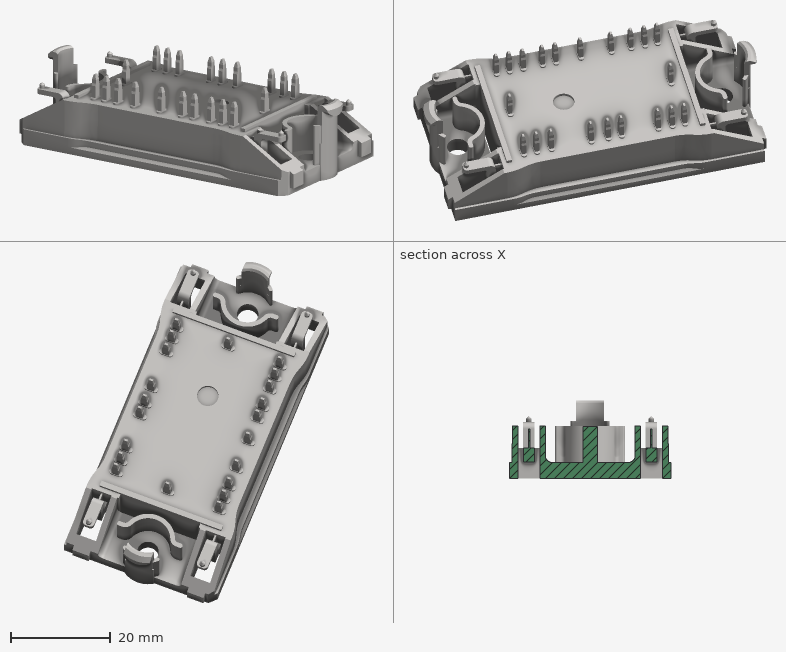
import cadquery as cq
import math

OVERALL_LENGTH = 68.4
HOUSING_LENGTH = 64.0
HOUSING_WIDTH = 32.5
CORNER_CHAMFER = 1.45
BASE_LENGTH, BASE_WIDTH = 38.2, 27.0
BASE_DROP = 0.2
LEDGE_Z = 3.53
TOP_Z = 11.07
HALF_LENGTH = HOUSING_LENGTH / 2
HALF_WIDTH = HOUSING_WIDTH / 2

WING_HALF_WIDTH = 15.78
WAIST_HALF_WIDTH = 14.55
WAIST_HALF_LENGTH = 13.9
WAIST_RUNOUT = 21.1
BODY_DRAFT = 1.5

RAMP_START = 21.7
RAMP_ANGLE = 30.0
TAB_REACH = 0.9
TAB_INNER_Y, TAB_OUTER_Y = 10.58, 14.1
TAB_BOTTOM_Z = 1.65

RECESS_HALF_LENGTH = 19.85
SILL_HALF_LENGTH = 15.3
SILL_HALF_WIDTH = 15.7
RECESS_FLOOR_Z, SILL_FOOT_Z = 1.65, 2.23

POCKET_HALF_WIDTH = 8.95
POCKET_FILLET = 1.25
SLOT_OUTER_X = 21.45
SLOT_HALF_LENGTH = 8.6
WINDOW_INNER_X, WINDOW_OUTER_X = 21.45, 30.0
WINDOW_INNER_Y, WINDOW_OUTER_Y = 10.15, 14.4
SCREW_X = 27.35
SCREW_DIAMETER = 4.3

GUARD_RADIUS = 4.95
GUARD_THICKNESS = 0.95
GUARD_BEND_RADIUS = 1.35
GUARD_LEG_X = 26.3
GUARD_LEG_END_Y = 7.0
GUARD_END_FILLET = 0.4
GUARD_TOP_Z = 10.74

POST_INNER_RADIUS, POST_OUTER_RADIUS = 4.7, 5.7
POST_HALF_WIDTH = 2.8
POST_FOOT_HALF_WIDTH = 3.1
POST_TOP_Z = 15.88
POST_STEP_Z = 8.0
ARM_INNER_RADIUS, ARM_OUTER_RADIUS = 4.75, 5.5
ARM_HALF_ANGLE = 43.5
ARM_TOP_Z = 11.76
LIP_RADIUS = OVERALL_LENGTH / 2 - SCREW_X
LIP_BOTTOM_Z, LIP_SIDE_Z = 13.5, 14.75
LIP_BEVEL_RUN, LIP_BEVEL_DROP = 1.05, 0.75
POST_BEVEL_RUN, POST_BEVEL_DROP = 0.45, 0.4

LEVER_Y = 12.25
LEVER_WIDTH = 2.35
LEVER_TIP_X = 29.4
LEVER_TOP_Z, LEVER_BOTTOM_Z = 11.5, 10.45
LEVER_TIP_FILLET = 0.75
LEVER_LEG_OUTER_X, LEVER_LEG_INNER_X = 24.6, 22.9
LEVER_LEG_BOTTOM_Z = LEDGE_Z
LEVER_BEND_OUTER_RADIUS, LEVER_BEND_INNER_RADIUS = 1.3, 0.7
LEVER_FOOT_TOP_Z = 6.4
LEVER_WEB_TOP_Z, LEVER_WEB_THICKNESS = 10.2, 0.35
STUD_X = 28.7
STUD_DIAMETER = 1.1
STUD_SHOULDER_Z, STUD_TIP_Z = 12.2, 12.75

RIB_X, RIB_WIDTH, RIB_LENGTH, RIB_HEIGHT = 20.0, 1.1, 26.2, 0.68
DIMPLE_X, DIMPLE_DIAMETER, DIMPLE_DEPTH = 5.45, 4.3, 0.6
PIN_ROW_Y = 11.1
PIN_SHANK_X, PIN_SHANK_Y = 0.95, 1.5
PIN_NECK_Y = 1.15
PIN_TIP_X, PIN_TIP_Y = 0.4, 0.75
PIN_SHOULDER_Z, PIN_NECK_Z, PIN_TAPER_Z, PIN_TOP_Z = 13.9, 14.4, 15.2, 16.23
COLLAR_LENGTH, COLLAR_WIDTH, COLLAR_HEIGHT = 2.8, 1.17, 0.35
BACK_ROW_X = (-16.65, -14.05, -11.15, -3.57, -0.8, 2.72, 10.95, 13.95, 16.65)
MIDDLE_ROW_X = (-16.65, 16.65)
FRONT_ROW_X = (-16.65, -14.05, -11.2, -7.1, -0.8, 4.36, 7.12, 11.12, 13.95, 16.65)

OVERLAP = 0.3


def box(x0, x1, y0, y1, z0, z1):
    """Box between two opposite corners."""
    return cq.Workplane("XY").box(x1 - x0, y1 - y0, z1 - z0, centered=False).translate((x0, y0, z0))


def ramp_z(x):
    """Height of the wing ramp at distance x from the middle."""
    return TOP_Z - (x - RAMP_START) * math.tan(math.radians(RAMP_ANGLE))


def both_y(shape):
    return shape.union(shape.mirror("XZ"))


def both_x(shape):
    return shape.union(shape.mirror("YZ"))


def plan_block(height):
    """Housing outline with its two front corners chamfered."""
    block = box(-HALF_LENGTH, HALF_LENGTH, -HALF_WIDTH, HALF_WIDTH, BASE_DROP, height)
    return block.edges("|Z and <Y").chamfer(CORNER_CHAMFER)


def s_curve(sketch, start, end):
    """S-curve of two equal arcs from start to end, running along X at both ends."""
    run, rise = end[0] - start[0], end[1] - start[1]
    radius = (run ** 2 + rise ** 2) / (4 * abs(rise))
    middle = (start[0] + run / 2, start[1] + rise / 2)
    half_turn = math.asin(abs(run) / 2 / radius) / 2
    dx = math.copysign(radius * math.sin(half_turn), run)
    dy = math.copysign(radius * (1 - math.cos(half_turn)), rise)
    sketch = sketch.threePointArc((start[0] + dx, start[1] + dy), middle)
    return sketch.threePointArc((end[0] - dx, end[1] - dy), end)


def upper_body():
    """Drafted body with waisted long sides, ramped down at both ends."""
    reach = HALF_LENGTH + TAB_REACH
    wing, waist = WING_HALF_WIDTH, WAIST_HALF_WIDTH
    sketch = cq.Workplane("XY").workplane(offset=LEDGE_Z).moveTo(-reach, -wing)
    for side in (-1, 1):
        sketch = sketch.lineTo(side * WAIST_RUNOUT, side * wing)
        sketch = s_curve(sketch, (side * WAIST_RUNOUT, side * wing), (side * WAIST_HALF_LENGTH, side * waist))
        sketch = sketch.lineTo(-side * WAIST_HALF_LENGTH, side * waist)
        sketch = s_curve(sketch, (-side * WAIST_HALF_LENGTH, side * waist), (-side * WAIST_RUNOUT, side * wing))
        sketch = sketch.lineTo(-side * reach, side * wing)
        if side < 0:
            sketch = sketch.lineTo(reach, wing)
    body = sketch.close().extrude(TOP_Z - LEDGE_Z, taper=BODY_DRAFT)
    return body.intersect(plan_block(TOP_Z)).intersect(ramp_envelope(HALF_LENGTH))


def ramp_envelope(end_x):
    """Everything below the top face and the two ramps."""
    outline = [
        (-end_x, 0), (-end_x, ramp_z(end_x)), (-RAMP_START, TOP_Z),
        (RAMP_START, TOP_Z), (end_x, ramp_z(end_x)), (end_x, 0),
    ]
    return cq.Workplane("XZ").polyline(outline).close().extrude(HALF_WIDTH, both=True)


def end_tabs():
    reach = HALF_LENGTH + TAB_REACH
    tab = box(HALF_LENGTH - OVERLAP, reach, TAB_INNER_Y, TAB_OUTER_Y, TAB_BOTTOM_Z, TOP_Z)
    return both_x(both_y(tab.intersect(ramp_envelope(reach))))


def side_recesses():
    """Recess in the flange edge, with a sill wall and an outward-sloping floor."""
    end, sill = RECESS_HALF_LENGTH, SILL_HALF_LENGTH
    sketch = cq.Workplane("XY").moveTo(-end, HALF_WIDTH)
    sketch = s_curve(sketch, (-end, HALF_WIDTH), (-sill, SILL_HALF_WIDTH)).lineTo(sill, SILL_HALF_WIDTH)
    plan = s_curve(sketch, (sill, SILL_HALF_WIDTH), (end, HALF_WIDTH)).close().extrude(LEDGE_Z)
    section = [
        (HALF_WIDTH, RECESS_FLOOR_Z), (SILL_HALF_WIDTH, SILL_FOOT_Z),
        (SILL_HALF_WIDTH, LEDGE_Z), (HALF_WIDTH, LEDGE_Z),
    ]
    space = cq.Workplane("YZ").polyline(section).close().extrude(end, both=True)
    return both_y(plan.intersect(space))


def wing_openings():
    """Screw pocket, slot beside the body, screw hole and lever windows."""
    above = TOP_Z + OVERLAP
    pocket = box(SLOT_OUTER_X, HALF_LENGTH + TAB_REACH, -POCKET_HALF_WIDTH, POCKET_HALF_WIDTH, LEDGE_Z, above)
    pocket = pocket.edges("|X and <Z").fillet(POCKET_FILLET)
    body_end = RIB_X + RIB_WIDTH / 2
    slot = box(body_end, SLOT_OUTER_X, -SLOT_HALF_LENGTH, SLOT_HALF_LENGTH, 0, above)
    hole = cq.Workplane("XY").center(SCREW_X, 0).circle(SCREW_DIAMETER / 2).extrude(TOP_Z)
    window = box(WINDOW_INNER_X, WINDOW_OUTER_X, WINDOW_INNER_Y, WINDOW_OUTER_Y, 0, above)
    return both_x(pocket.union(slot).union(hole).union(both_y(window)))


def guard_outline(offset):
    """Points along one wall face, offset outward from the guard centreline, from its +Y end to Y = 0."""
    bend_x = GUARD_LEG_X - GUARD_BEND_RADIUS
    bend_y = math.sqrt((GUARD_RADIUS + GUARD_BEND_RADIUS) ** 2 - (SCREW_X - bend_x) ** 2)
    join = math.atan2(bend_y, SCREW_X - bend_x)
    radius = GUARD_RADIUS + offset
    bend = GUARD_BEND_RADIUS - offset
    leg_x = bend_x + bend
    bend_mid = (bend_x + bend * math.cos(join / 2), bend_y - bend * math.sin(join / 2))
    joint = (SCREW_X - radius * math.cos(join), radius * math.sin(join))
    return (leg_x, GUARD_LEG_END_Y), (leg_x, bend_y), bend_mid, joint, (SCREW_X - radius, 0)


def guard_wall():
    """S-shaped wall curling around the body side of the screw."""
    outer_end, outer_leg, outer_bend, outer_joint, outer_apex = guard_outline(GUARD_THICKNESS / 2)
    inner_end, inner_leg, inner_bend, inner_joint, inner_apex = guard_outline(-GUARD_THICKNESS / 2)

    def below(point):
        return (point[0], -point[1])

    sketch = cq.Workplane("XY").workplane(offset=LEDGE_Z - OVERLAP).moveTo(*outer_end).lineTo(*outer_leg)
    sketch = sketch.threePointArc(outer_bend, outer_joint).threePointArc(outer_apex, below(outer_joint))
    sketch = sketch.threePointArc(below(outer_bend), below(outer_leg))
    sketch = sketch.lineTo(*below(outer_end)).lineTo(*below(inner_end)).lineTo(*below(inner_leg))
    sketch = sketch.threePointArc(below(inner_bend), below(inner_joint))
    sketch = sketch.threePointArc(inner_apex, inner_joint).threePointArc(inner_bend, inner_leg)
    wall = sketch.lineTo(*inner_end).close().extrude(GUARD_TOP_Z - LEDGE_Z + OVERLAP)
    for end in (">Y", "<Y"):
        wall = wall.faces(end).edges("|Z").fillet(GUARD_END_FILLET)
    return both_x(wall)


def turned(section):
    """Solid of revolution about the screw axis from (radius, Z) points."""
    ring = cq.Workplane("XZ").polyline(section).close().revolve(360, (0, 0, 0), (0, 1, 0))
    return ring.translate((SCREW_X, 0, 0))


def post_lip():
    """Snap lip whose underside hangs lowest in the middle."""
    root_radius = POST_OUTER_RADIUS - OVERLAP
    lip = turned([
        (root_radius, LIP_BOTTOM_Z), (LIP_RADIUS, LIP_BOTTOM_Z), (LIP_RADIUS, POST_TOP_Z - LIP_BEVEL_DROP),
        (LIP_RADIUS - LIP_BEVEL_RUN, POST_TOP_Z), (root_radius, POST_TOP_Z),
    ])
    face = cq.Workplane("YZ").workplane(offset=SCREW_X).moveTo(-POST_HALF_WIDTH, LIP_SIDE_Z)
    face = face.threePointArc((0, LIP_BOTTOM_Z), (POST_HALF_WIDTH, LIP_SIDE_Z))
    face = face.lineTo(POST_HALF_WIDTH, POST_TOP_Z).lineTo(-POST_HALF_WIDTH, POST_TOP_Z).close()
    return lip.intersect(face.extrude(LIP_RADIUS + OVERLAP))


def snap_posts():
    """Curved post with a wider foot, two lower side arms and an outward lip."""
    far_x = SCREW_X + LIP_RADIUS
    foot = box(SCREW_X, far_x, -POST_FOOT_HALF_WIDTH, POST_FOOT_HALF_WIDTH, BASE_DROP, POST_STEP_Z)
    stem = box(SCREW_X, far_x, -POST_HALF_WIDTH, POST_HALF_WIDTH, BASE_DROP, POST_TOP_Z)
    shell = turned([
        (POST_INNER_RADIUS, BASE_DROP), (POST_OUTER_RADIUS, BASE_DROP), (POST_OUTER_RADIUS, POST_TOP_Z),
        (POST_INNER_RADIUS + POST_BEVEL_RUN, POST_TOP_Z), (POST_INNER_RADIUS, POST_TOP_Z - POST_BEVEL_DROP),
    ])
    post = shell.intersect(foot.union(stem))

    half_angle = math.radians(ARM_HALF_ANGLE)
    corner = (LIP_RADIUS * math.cos(half_angle), LIP_RADIUS * math.sin(half_angle))
    sector = cq.Workplane("XY").polyline([(0, 0), (corner[0], -corner[1]), (LIP_RADIUS * 2, 0), corner])
    sector = sector.close().extrude(ARM_TOP_Z).translate((SCREW_X, 0, 0))
    arms = turned([
        (ARM_INNER_RADIUS, BASE_DROP), (ARM_OUTER_RADIUS, BASE_DROP),
        (ARM_OUTER_RADIUS, ARM_TOP_Z), (ARM_INNER_RADIUS, ARM_TOP_Z),
    ]).intersect(sector)
    arm_radius = (ARM_INNER_RADIUS + ARM_OUTER_RADIUS) / 2
    end = (SCREW_X + arm_radius * math.cos(half_angle), arm_radius * math.sin(half_angle))
    tip = cq.Workplane("XY").workplane(offset=BASE_DROP).center(*end)
    tip = tip.circle((ARM_OUTER_RADIUS - ARM_INNER_RADIUS) / 2).extrude(ARM_TOP_Z - BASE_DROP)
    return both_x(post.union(arms).union(both_y(tip)).union(post_lip()))


def levers():
    """Bent spring lever tied to the body by a foot and a thin web, with a pointed stud at its tip."""
    half_width, half_web = LEVER_WIDTH / 2, LEVER_WEB_THICKNESS / 2
    inner_x, outer_x = LEVER_LEG_INNER_X, LEVER_LEG_OUTER_X
    root_x = WINDOW_INNER_X - OVERLAP
    outline = [
        (LEVER_TIP_X, LEVER_BOTTOM_Z), (LEVER_TIP_X, LEVER_TOP_Z), (inner_x, LEVER_TOP_Z),
        (inner_x, LEVER_LEG_BOTTOM_Z), (outer_x, LEVER_LEG_BOTTOM_Z), (outer_x, LEVER_BOTTOM_Z),
    ]
    lever = cq.Workplane("XZ").polyline(outline).close().extrude(half_width, both=True)
    outer_bend = cq.selectors.NearestToPointSelector((inner_x, 0, LEVER_TOP_Z))
    inner_bend = cq.selectors.NearestToPointSelector((outer_x, 0, LEVER_BOTTOM_Z))
    lever = lever.edges(outer_bend).fillet(LEVER_BEND_OUTER_RADIUS)
    lever = lever.edges(inner_bend).fillet(LEVER_BEND_INNER_RADIUS)
    lever = lever.edges("|Z and >X").fillet(LEVER_TIP_FILLET)
    foot = box(root_x, inner_x + OVERLAP, -half_width, half_width, LEVER_LEG_BOTTOM_Z, LEVER_FOOT_TOP_Z)
    web = box(root_x, inner_x + OVERLAP, -half_web, half_web, LEVER_LEG_BOTTOM_Z, LEVER_WEB_TOP_Z)
    stud_radius = STUD_DIAMETER / 2
    section = [
        (0, LEVER_TOP_Z - OVERLAP), (stud_radius, LEVER_TOP_Z - OVERLAP),
        (stud_radius, STUD_SHOULDER_Z), (0, STUD_TIP_Z),
    ]
    stud = cq.Workplane("XZ").polyline(section).close().revolve(360, (0, 0, 0), (0, 1, 0))
    lever = lever.union(foot).union(web).union(stud.translate((STUD_X, 0, 0)))
    return both_x(both_y(lever.translate((0, LEVER_Y, 0))))


def top_ribs():
    half_width, half_length = RIB_WIDTH / 2, RIB_LENGTH / 2
    return both_x(box(
        RIB_X - half_width, RIB_X + half_width, -half_length, half_length,
        TOP_Z - OVERLAP, TOP_Z + RIB_HEIGHT,
    ))


def contact_pin():
    """Flat pin with a necked-down pointed end standing on an oblong collar."""
    foot_z = TOP_Z - OVERLAP
    half_y, neck_y, tip_y = PIN_SHANK_Y / 2, PIN_NECK_Y / 2, PIN_TIP_Y / 2
    half_x, tip_x = PIN_SHANK_X / 2, PIN_TIP_X / 2
    side = [
        (half_y, foot_z), (half_y, PIN_SHOULDER_Z), (neck_y, PIN_NECK_Z), (neck_y, PIN_TAPER_Z),
        (tip_y, PIN_TOP_Z), (-tip_y, PIN_TOP_Z), (-neck_y, PIN_TAPER_Z), (-neck_y, PIN_NECK_Z),
        (-half_y, PIN_SHOULDER_Z), (-half_y, foot_z),
    ]
    front = [
        (half_x, foot_z), (half_x, PIN_TAPER_Z), (tip_x, PIN_TOP_Z),
        (-tip_x, PIN_TOP_Z), (-half_x, PIN_TAPER_Z), (-half_x, foot_z),
    ]
    pin = cq.Workplane("YZ").polyline(side).close().extrude(half_x, both=True)
    pin = pin.intersect(cq.Workplane("XZ").polyline(front).close().extrude(half_y, both=True))
    collar = cq.Workplane("XY").workplane(offset=foot_z).slot2D(COLLAR_LENGTH, COLLAR_WIDTH, 90)
    return pin.union(collar.extrude(OVERLAP + COLLAR_HEIGHT))


def add_pins(body):
    pin = contact_pin()
    for row_y, row_x in ((PIN_ROW_Y, BACK_ROW_X), (0, MIDDLE_ROW_X), (-PIN_ROW_Y, FRONT_ROW_X)):
        for x in row_x:
            body = body.union(pin.translate((x, row_y, 0)))
    return body


def marker_dimple():
    dimple = cq.Workplane("XY").workplane(offset=TOP_Z - DIMPLE_DEPTH).center(DIMPLE_X, 0)
    return dimple.circle(DIMPLE_DIAMETER / 2).extrude(DIMPLE_DEPTH)


housing = plan_block(LEDGE_Z).cut(side_recesses()).union(upper_body()).union(end_tabs())
base_plate = cq.Workplane("XY").box(BASE_LENGTH, BASE_WIDTH, LEDGE_Z, centered=(True, True, False))
housing = housing.union(base_plate).cut(wing_openings()).cut(marker_dimple())
housing = housing.union(guard_wall()).union(snap_posts()).union(levers()).union(top_ribs())
result = add_pins(housing)